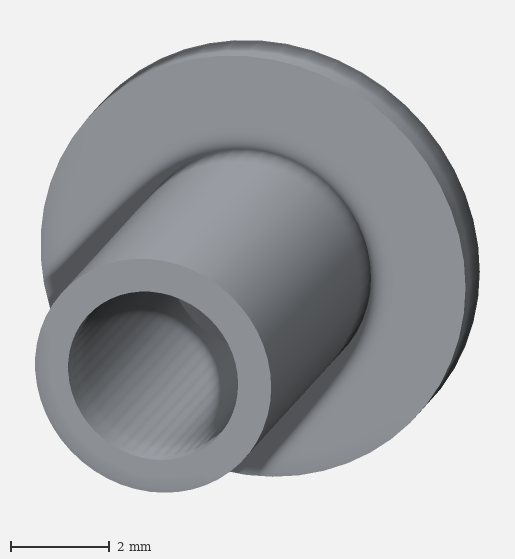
import cadquery as cq

flange_diameter = 9.0
flange_thickness = 1.0
tube_diameter = 5.0
bore_diameter = 3.6
total_length = 8.0

tube_length = total_length - flange_thickness
bore_depth = tube_length


def cylinder_along_y(diameter, start_y, length):
    """Solid cylinder on the Y axis, running from start_y toward +Y."""
    return (
        cq.Workplane("XZ", origin=(0, start_y, 0))
        .circle(diameter / 2)
        .extrude(-length)
    )


tube = cylinder_along_y(tube_diameter, 0, tube_length)
flange = cylinder_along_y(flange_diameter, tube_length, flange_thickness)
bore = cylinder_along_y(bore_diameter, 0, bore_depth)

result = tube.union(flange).cut(bore)